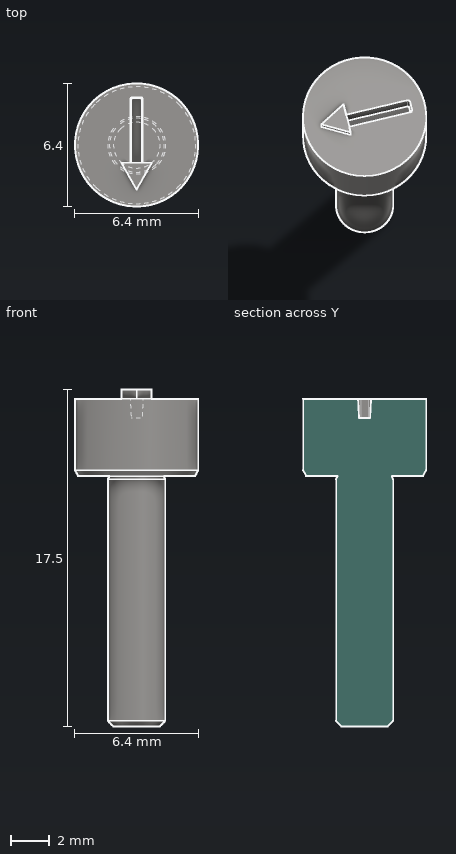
import cadquery as cq

total_height = 17.5
head_diameter = 6.4
head_height = 4.0
shank_diameter = 3.0

head_bevel_height = 0.3
head_bevel_width = 0.15
neck_bevel_height = 0.15
neck_bevel_width = 0.09
tip_bevel = 0.3

arrow_height = 0.49
arrow_width = 1.58
arrow_base_y = -0.93
arrow_point_y = -2.31
slot_width = 0.66
slot_end_y = 2.48
slot_depth = 1.0
slot_corner_radius = 0.14
slot_wall_draft = 3.0

head_radius = head_diameter / 2
shank_radius = shank_diameter / 2
head_top = total_height - arrow_height
head_bottom = head_top - head_height


def make_screw_body():
    """Revolve the half profile of the shank and head about Z."""
    profile = [
        (0, 0),
        (shank_radius - tip_bevel, 0),
        (shank_radius, tip_bevel),
        (shank_radius, head_bottom - neck_bevel_height),
        (shank_radius - neck_bevel_width, head_bottom),
        (head_radius - head_bevel_width, head_bottom),
        (head_radius, head_bottom + head_bevel_height),
        (head_radius, head_top),
        (0, head_top),
    ]
    return cq.Workplane("XZ").polyline(profile).close().revolve(360, (0, 0), (0, 1))


def make_arrow_shaft():
    """Cutter for the sunken shaft: drafted walls and rounded far corners.

    It starts at mid-length of the raised tip and is trimmed square at the tip's base.
    """
    start_y = (arrow_base_y + arrow_point_y) / 2
    full_length = slot_end_y - start_y
    outline = (
        cq.Sketch()
        .rect(slot_width, full_length)
        .vertices(">Y")
        .fillet(slot_corner_radius)
    )
    tapered = (
        cq.Workplane("XY", origin=(0, start_y + full_length / 2, head_top))
        .placeSketch(outline)
        .extrude(-slot_depth, taper=slot_wall_draft)
    )
    trim = (
        cq.Workplane("XY", origin=(0, arrow_base_y, head_top - slot_depth))
        .box(slot_width, slot_end_y - arrow_base_y, slot_depth, centered=(True, False, False))
    )
    return tapered.intersect(trim)


def make_arrow_tip():
    """Raised triangle pointing toward -Y."""
    corners = [
        (-arrow_width / 2, arrow_base_y),
        (arrow_width / 2, arrow_base_y),
        (0, arrow_point_y),
    ]
    return cq.Workplane("XY", origin=(0, 0, head_top)).polyline(corners).close().extrude(arrow_height)


result = make_screw_body().cut(make_arrow_shaft()).union(make_arrow_tip())